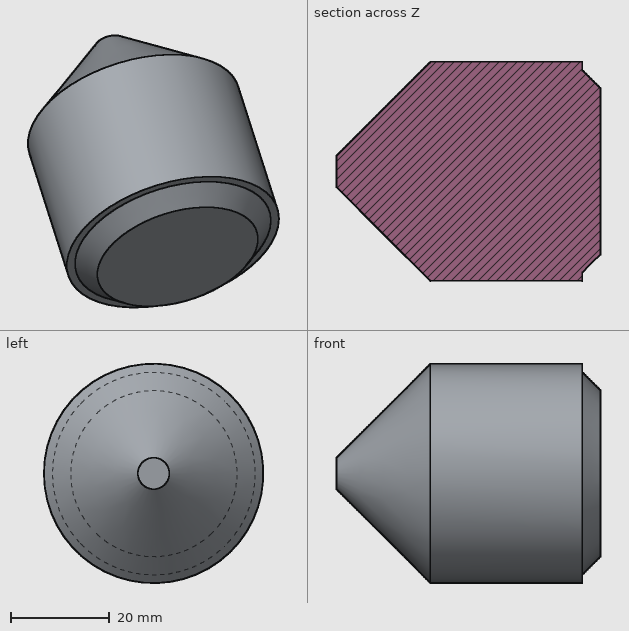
import cadquery as cq

total_length = 53.5
body_diameter = 44.45
tip_diameter = 6.35
tail_length = 3.7
tail_step = 1.7

body_radius = body_diameter / 2
tip_radius = tip_diameter / 2
nose_length = body_radius - tip_radius
body_end = total_length - tail_length
tail_base_radius = body_radius - tail_step
tail_end_radius = tail_base_radius - tail_length

profile = (
    cq.Workplane("XY")
    .moveTo(0, 0)
    .lineTo(0, tip_radius)
    .lineTo(nose_length, body_radius)
    .lineTo(body_end, body_radius)
    .lineTo(body_end, tail_base_radius)
    .lineTo(total_length, tail_end_radius)
    .lineTo(total_length, 0)
    .close()
)

result = profile.revolve(360, (0, 0, 0), (1, 0, 0))